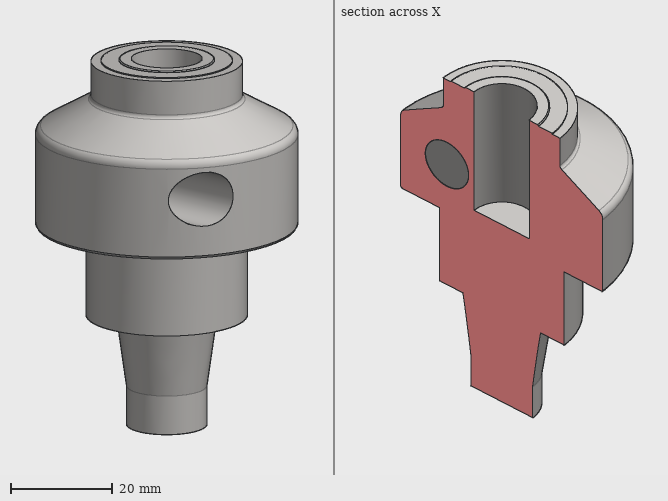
import cadquery as cq
import math

total_height = 75.0
spigot_top = 7.95
taper_top = 22.5
body_bottom = 41.0
neck_bottom = 67.6
outer_step_height = 0.2
inner_step_height = 0.3
inner_step_bottom = total_height - inner_step_height
neck_top = inner_step_bottom - outer_step_height

spigot_radius = 16.0 / 2
taper_top_radius = 20.0 / 2
shank_radius = 32.0 / 2
body_radius = 52.0 / 2
neck_radius = 30.0 / 2
outer_step_radius = 26.0 / 2
inner_step_radius = 19.0 / 2
bore_radius = 14.0 / 2

shoulder_slope = math.radians(30)
neck_fillet = 1.0
body_fillet = 2.0
body_chamfer_width = 0.2
body_chamfer_height = 0.45
step_chamfer = 0.2

bore_depth = 30.0
side_hole_diameter = 11.0
side_hole_offset = 14.0
side_hole_level = 53.0


def arc_point(center_r, center_z, radius, angle):
    """Point of the half-section on an arc, at an angle above the outward radial direction."""
    return center_r + radius * math.cos(angle), center_z + radius * math.sin(angle)


def make_turned_body():
    """Revolve the half-section, with both ends of the conical shoulder tangent to fillets."""
    normal_angle = math.pi / 2 - shoulder_slope

    neck_center_r = neck_radius + neck_fillet
    neck_arc = (neck_center_r, neck_bottom, neck_fillet)
    cone_top = arc_point(*neck_arc, math.pi + normal_angle)
    neck_arc_middle = arc_point(*neck_arc, math.pi + normal_angle / 2)

    body_center_r = body_radius - body_fillet
    cone_bottom_r = body_center_r + body_fillet * math.cos(normal_angle)
    cone_bottom_z = cone_top[1] - (cone_bottom_r - cone_top[0]) * math.tan(shoulder_slope)
    body_center_z = cone_bottom_z - body_fillet * math.sin(normal_angle)
    body_arc_middle = arc_point(body_center_r, body_center_z, body_fillet, normal_angle / 2)

    return (
        cq.Workplane("XZ")
        .moveTo(0, 0)
        .lineTo(spigot_radius, 0)
        .lineTo(spigot_radius, spigot_top)
        .lineTo(taper_top_radius, taper_top)
        .lineTo(shank_radius, taper_top)
        .lineTo(shank_radius, body_bottom)
        .lineTo(body_radius - body_chamfer_width, body_bottom)
        .lineTo(body_radius, body_bottom + body_chamfer_height)
        .lineTo(body_radius, body_center_z)
        .threePointArc(body_arc_middle, (cone_bottom_r, cone_bottom_z))
        .lineTo(*cone_top)
        .threePointArc(neck_arc_middle, (neck_radius, neck_bottom))
        .lineTo(neck_radius, neck_top)
        .lineTo(outer_step_radius, neck_top)
        .lineTo(outer_step_radius, inner_step_bottom)
        .lineTo(inner_step_radius, inner_step_bottom)
        .lineTo(inner_step_radius, total_height - step_chamfer)
        .lineTo(inner_step_radius - step_chamfer, total_height)
        .lineTo(0, total_height)
        .close()
        .revolve(360, (0, 0, 0), (0, 1, 0))
    )


def make_bore():
    """Flat-bottomed bore on the axis, open at the top."""
    return cq.Workplane("XY").workplane(offset=total_height - bore_depth).circle(bore_radius).extrude(bore_depth)


def make_side_hole():
    """Off-centre hole parallel to X, entering from +X and ending at the middle plane."""
    return (
        cq.Workplane("YZ")
        .center(-side_hole_offset, side_hole_level)
        .circle(side_hole_diameter / 2)
        .extrude(body_radius)
    )


result = make_turned_body().cut(make_bore()).cut(make_side_hole())